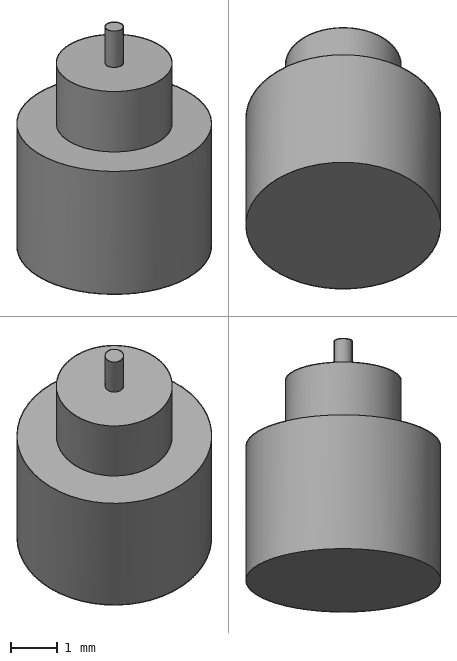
import cadquery as cq

overall_height = 5.45
body_diameter = 4.2
body_height = 3.05
collar_diameter = 2.5
collar_height = 1.5
core_diameter = 1.95
pin_diameter = 0.4

collar_top = body_height + collar_height
pin_height = overall_height - collar_top


def cylinder(diameter, height, base_z):
    """Upright cylinder on the Z axis, starting at base_z."""
    return cq.Workplane("XY").workplane(offset=base_z).circle(diameter / 2).extrude(height)


body = cylinder(body_diameter, body_height, 0)
core = cylinder(core_diameter, collar_height, body_height)
sleeve = cylinder(collar_diameter, collar_height, body_height).cut(core)

pin = cylinder(pin_diameter, pin_height, collar_top)

result = body.union(sleeve, clean=False).union(core, clean=False).union(pin, clean=False)